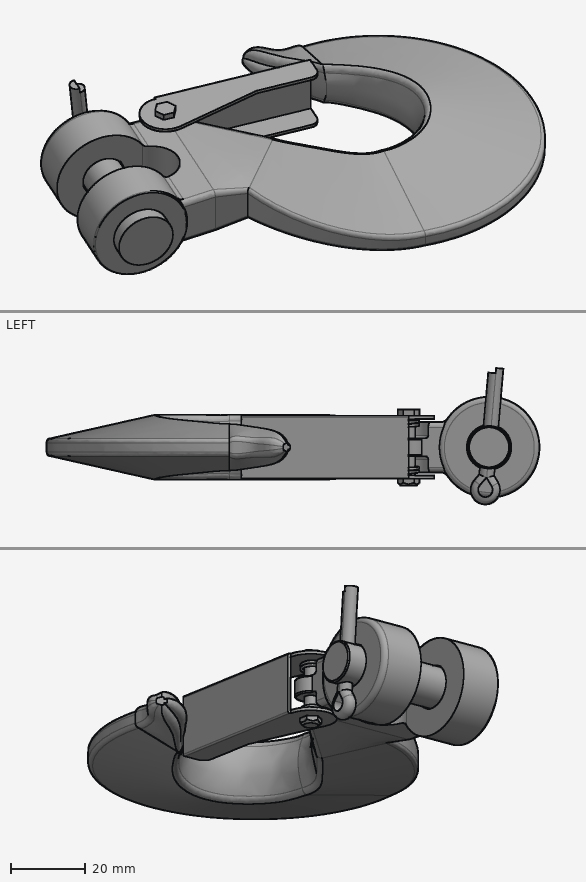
import cadquery as cq
import math


eye_radius = 13.65
eye_left, eye_right = -20.3, 19.5
eye_left_fillet, eye_right_fillet = 1.5, 0.35
eye_blend = 2.0
slot_width = 14.8
slot_arc_y = 11.2
pin_bore_diameter = 12.06

pin_diameter = 11.54
pin_end_x = -26.15
pin_chamfer = 0.4
head_diameter, head_length = 15.7, 3.75

cotter_radius = 4.06 / 2
cotter_tilt = 5.0
cotter_x = eye_left - cotter_radius
cotter_long_leg, cotter_short_leg = 21.5, 20.1
cotter_neck_z = -8.2
cotter_loop_z = -11.55
cotter_loop_radius = 1.95

bowl_x, bowl_y, bowl_radius = 5.95, 74.44, 45.1
throat_x, throat_y, throat_radius = 0.4, 70.2, 17.0
throat_opening = 4.5
throat_opening_start = 115.0
inner_half, outer_half = 8.8, 2.45
nose_half = 6.3
inner_bulge, inner_fillet, outer_fillet = 1.5, 1.7, 1.2

shank_half = 6.85
shank_fillet = 1.5
shank_left, shank_right = -19.6, 18.4
shank_top_y = 22.05
shank_foot_y = 11.6

pivot_x, pivot_y = -17.1, 21.75
latch_half, latch_sheet = 8.55, 0.95
latch_end_radius = 7.0
latch_top_y, latch_taper_y = 66.9, 48.5
latch_right = -17.3
latch_corner = 2.5
lug_radius, lug_half, lug_chamfer = 4.4, 2.45, 0.4
pocket_radius, pocket_fillet = 5.9, 0.8
bolt_diameter = 3.61
hex_flats = 5.15
bolt_head_height = 1.7
bolt_foot_height, bolt_foot_chamfer = 1.9, 0.9

wire_diameter = 0.77
coil_radius = 2.55
coil_pitch, coil_turns = 0.9, 2
coil_start_z = 5.4


def hook_section(outer, inner, half_in, half_out, bulge, fillet_in, fillet_out):
    """Wedge-shaped section standing on the line from an inner to an outer point."""
    length = math.dist(outer, inner)
    direction = ((outer[0] - inner[0]) / length, (outer[1] - inner[1]) / length)
    plane = cq.Plane(
        origin=(inner[0], inner[1], 0),
        xDir=(direction[0], direction[1], 0),
        normal=(direction[1], -direction[0], 0),
    )
    round_off = 1 - math.sqrt(0.5)
    wall_half = half_in - fillet_in
    edge_half = half_out - fillet_out
    in_mid = (bulge + fillet_in * round_off, half_in - fillet_in * round_off)
    out_mid = (length - fillet_out * round_off, half_out - fillet_out * round_off)
    sketch = cq.Workplane(plane).moveTo(length, -edge_half).lineTo(length, edge_half)
    sketch = sketch.threePointArc(out_mid, (length - fillet_out, half_out))
    sketch = sketch.lineTo(bulge + fillet_in, half_in)
    sketch = sketch.threePointArc(in_mid, (bulge, wall_half))
    if bulge:
        sketch = sketch.threePointArc((0, 0), (bulge, -wall_half))
    else:
        sketch = sketch.lineTo(bulge, -wall_half)
    sketch = sketch.threePointArc((in_mid[0], -in_mid[1]), (bulge + fillet_in, -half_in))
    sketch = sketch.lineTo(length - fillet_out, -half_out)
    sketch = sketch.threePointArc((out_mid[0], -out_mid[1]), (length, -edge_half))
    return sketch.close().val()


def bowl_section(angle):
    """Section of the bowl at an angle around the throat centre, 0 being +X."""
    cos_a, sin_a = math.cos(math.radians(angle)), math.sin(math.radians(angle))
    offset_x, offset_y = throat_x - bowl_x, throat_y - bowl_y
    along = offset_x * cos_a + offset_y * sin_a
    reach = math.sqrt(along**2 - offset_x**2 - offset_y**2 + bowl_radius**2) - along
    opening = max(0, angle - throat_opening_start) / (180 - throat_opening_start)
    inner_reach = throat_radius + throat_opening * opening**3
    half_in = inner_half - (inner_half - nose_half) * max(0, angle - 90) / 90
    outer = (throat_x + reach * cos_a, throat_y + reach * sin_a)
    inner = (throat_x + inner_reach * cos_a, throat_y + inner_reach * sin_a)
    return hook_section(outer, inner, half_in, outer_half, inner_bulge, inner_fillet, outer_fillet)


def neck_section(outer, inner, half_out):
    return hook_section(outer, inner, inner_half, half_out, inner_bulge, inner_fillet, outer_fillet)


def shank_section(y, right):
    return hook_section(
        (right, y), (shank_left, y), shank_half, shank_half, 0, shank_fillet, shank_fillet
    )


bowl_step = 20
bowl = cq.Solid.makeLoft([bowl_section(angle) for angle in range(0, 180 + bowl_step, bowl_step)])

tip = cq.Solid.makeLoft([
    bowl_section(180),
    hook_section((-39.3, 66.2), (-26.7, 63.4), 5.6, 2.9, 1.7, 2.0, 1.4),
    hook_section((-41.9, 61.3), (-33.4, 56.4), 4.6, 2.7, 2.0, 2.4, 1.8),
    hook_section((-43.95, 58.1), (-38.7, 53.9), 3.0, 2.2, 1.5, 1.7, 1.6),
    hook_section((-43.5, 55.6), (-41.1, 53.7), 1.2, 0.9, 0.8, 0.7, 0.7),
])

neck_end = neck_section((18.3, 31.5), (2.4, 46.3), 5.0)
neck = cq.Solid.makeLoft([
    bowl_section(0),
    neck_section((49.0, 60.5), (16.6, 64.5), 2.6),
    neck_section((41.3, 48.0), (11.9, 57.5), 3.1),
    neck_section((29.0, 37.3), (6.4, 50.8), 4.0),
    neck_end,
])

shank_top = shank_section(shank_top_y, shank_right)
shank = cq.Solid.makeLoft([neck_end, shank_top], True)
foot = cq.Solid.makeLoft([shank_top, shank_section(shank_foot_y, eye_right)], True)

eye = (
    cq.Workplane("YZ", origin=(eye_left, 0, 0))
    .circle(eye_radius)
    .extrude(eye_right - eye_left)
    .faces("<X").edges().fillet(eye_left_fillet)
    .faces(">X").edges().fillet(eye_right_fillet)
)
lug = (
    cq.Workplane("XY", origin=(pivot_x, pivot_y, -lug_half))
    .circle(lug_radius)
    .extrude(2 * lug_half)
    .faces("|Z").edges().chamfer(lug_chamfer)
)
slot = (
    cq.Workplane("XY")
    .moveTo(-slot_width / 2, -eye_radius)
    .lineTo(-slot_width / 2, slot_arc_y)
    .threePointArc((0, slot_arc_y + slot_width / 2), (slot_width / 2, slot_arc_y))
    .lineTo(slot_width / 2, -eye_radius)
    .close()
    .extrude(eye_radius, both=True)
)
blend_y = math.sqrt((eye_radius + eye_blend) ** 2 - (shank_half + eye_blend) ** 2)
touch = eye_radius / (eye_radius + eye_blend)
touch_y, touch_z = blend_y * touch, (shank_half + eye_blend) * touch
blends = (
    cq.Workplane("YZ", origin=(shank_left + shank_fillet, 0, 0))
    .moveTo(shank_foot_y, 0)
    .lineTo(blend_y, 0)
    .lineTo(blend_y, shank_half)
    .radiusArc((touch_y, touch_z), eye_blend)
    .close()
    .extrude(eye_right - shank_left - 2 * shank_fillet)
)
blends = blends.union(blends.mirror("XY"))
pin_bore = cq.Workplane("YZ").circle(pin_bore_diameter / 2).extrude(eye_right - eye_left, both=True)
bolt_bore = (
    cq.Workplane("XY", origin=(pivot_x, pivot_y, 0))
    .circle(bolt_diameter / 2)
    .extrude(latch_half, both=True)
)

hook = cq.Workplane(bowl).union(cq.Workplane(tip)).union(cq.Workplane(neck))
hook = hook.union(cq.Workplane(shank)).union(cq.Workplane(foot)).union(eye).union(blends)
for side in (1, -1):
    pocket = (
        cq.Workplane("XY", origin=(pivot_x, pivot_y, side * lug_half))
        .circle(pocket_radius)
        .extrude(side * latch_half)
        .faces("<Z" if side > 0 else ">Z").edges().fillet(pocket_fillet)
    )
    hook = hook.cut(pocket)
hook = hook.union(lug).cut(slot).cut(pin_bore).cut(bolt_bore)


def half_round(plane, side):
    """Half-round wire profile on the given side of the plane's local X axis."""
    return (
        cq.Workplane(plane)
        .moveTo(-cotter_radius, 0)
        .threePointArc((0, side * cotter_radius), (cotter_radius, 0))
        .close()
    )


cotter_drop = cotter_neck_z - cotter_loop_z
flare = math.degrees(math.asin(cotter_loop_radius / cotter_drop))
flare_length = cotter_drop * math.cos(math.radians(flare))


def cotter_leg(side, leg_length):
    """One straight leg on the given side of the parting plane."""
    neck = cq.Plane.XY((0, 0, cotter_neck_z))
    return half_round(neck, side).extrude(leg_length - cotter_neck_z)


def cotter_flare(side):
    """Slanted stretch between the neck and the loop."""
    bar = half_round(cq.Plane.XY(), side).extrude(-flare_length)
    return bar.rotate((0, 0, 0), (1, 0, 0), side * flare).translate((0, 0, cotter_neck_z))


def cotter_loop():
    """Round part of the eye, centred on the bottom."""
    half_sweep = 90 + flare
    bottom = cq.Plane.XZ(origin=(0, 0, cotter_loop_z - cotter_loop_radius))
    arc = half_round(bottom, -1).revolve(
        2 * half_sweep, (0, cotter_loop_radius), (1, cotter_loop_radius)
    )
    return arc.rotate((0, 0, cotter_loop_z), (1, 0, cotter_loop_z), -half_sweep)


def place_cotter(body):
    return body.rotate((0, 0, 0), (1, 0, 0), cotter_tilt).translate((cotter_x, 0, 0))


cotter = place_cotter(
    cotter_leg(-1, cotter_long_leg)
    .union(cotter_leg(1, cotter_short_leg), clean=False)
    .union(cotter_flare(-1), clean=False)
    .union(cotter_flare(1), clean=False)
    .union(cotter_loop(), clean=False)
)

cotter_bore = place_cotter(cq.Workplane("XY").circle(cotter_radius).extrude(eye_radius, both=True))
clevis_pin = (
    cq.Workplane("YZ", origin=(pin_end_x, 0, 0))
    .circle(pin_diameter / 2)
    .extrude(eye_right - pin_end_x)
    .faces("<X").edges().chamfer(pin_chamfer)
    .faces(">X").workplane()
    .circle(head_diameter / 2)
    .extrude(head_length)
    .cut(cotter_bore)
)

latch_left = pivot_x - latch_end_radius
taper_dx, taper_dy = latch_right - pivot_x, latch_taper_y - pivot_y
taper_reach = math.hypot(taper_dx, taper_dy)
tangent_angle = math.atan2(taper_dy, taper_dx) - math.acos(latch_end_radius / taper_reach)
tangent_point = (
    pivot_x + latch_end_radius * math.cos(tangent_angle),
    pivot_y + latch_end_radius * math.sin(tangent_angle),
)
cheeks = (
    cq.Workplane("XY", origin=(0, 0, -latch_half))
    .moveTo(latch_left, pivot_y)
    .lineTo(latch_left, latch_top_y)
    .lineTo(latch_right - latch_corner, latch_top_y)
    .radiusArc((latch_right, latch_top_y - latch_corner), latch_corner)
    .lineTo(latch_right, latch_taper_y)
    .lineTo(*tangent_point)
    .threePointArc((pivot_x, pivot_y - latch_end_radius), (latch_left, pivot_y))
    .close()
    .extrude(2 * latch_half)
)
web = (
    cq.Workplane("XY", origin=(latch_left - latch_sheet, pivot_y, -latch_half))
    .box(latch_sheet, latch_top_y - pivot_y, 2 * latch_half, centered=False)
    .edges("|Y and <X").fillet(latch_sheet / 2)
)
channel = cq.Workplane("XY", origin=(latch_left, 0, latch_sheet - latch_half)).box(
    2 * latch_end_radius, latch_top_y, 2 * (latch_half - latch_sheet), centered=False
)
latch = cheeks.cut(channel).union(web).cut(bolt_bore).cut(hook)

hex_corners = hex_flats / math.cos(math.radians(30))


def hexagon(z, height):
    return (
        cq.Workplane("XY")
        .polygon(6, hex_corners)
        .extrude(height)
        .rotate((0, 0, 0), (0, 0, 1), 30)
        .translate((pivot_x, pivot_y, z))
    )


foot_cone = (
    cq.Workplane("XY", origin=(pivot_x, pivot_y, -latch_half - bolt_foot_height))
    .circle(hex_corners / 2)
    .extrude(bolt_foot_height)
    .faces("<Z").edges().chamfer(bolt_foot_chamfer)
)
bolt = bolt_bore.union(hexagon(latch_half, bolt_head_height)).union(
    hexagon(-latch_half - bolt_foot_height, bolt_foot_height).intersect(foot_cone)
)


def spring(start_z):
    coil = cq.Wire.makeHelix(coil_pitch, coil_pitch * coil_turns, coil_radius)
    wire = cq.Workplane("XZ", origin=(coil_radius, 0, 0)).circle(wire_diameter / 2)
    return wire.sweep(cq.Workplane(coil), isFrenet=True).translate((pivot_x, pivot_y, start_z))


springs = [spring(z) for z in (coil_start_z, -coil_start_z - coil_pitch * coil_turns)]

result = cq.Compound.makeCompound([
    hook.solids().val(),
    clevis_pin.solids().val(),
    cotter.solids().val(),
    latch.solids().val(),
    bolt.solids().val(),
    *[coil.solids().val() for coil in springs],
])